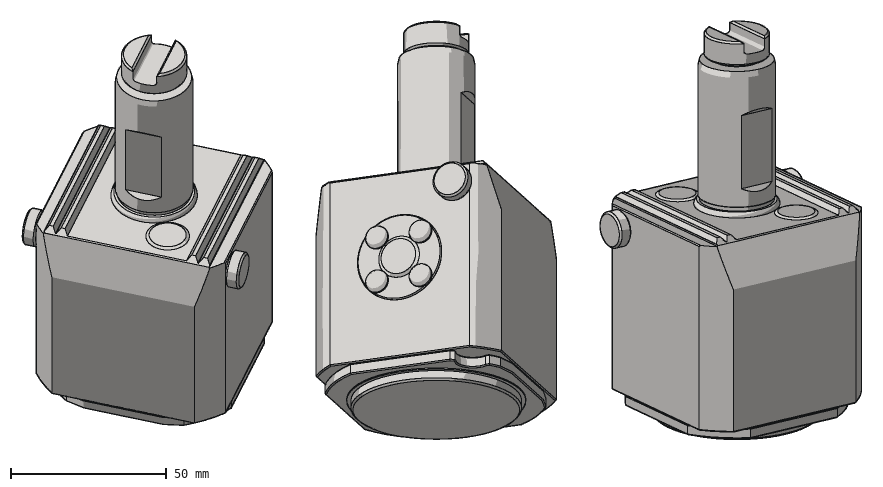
import cadquery as cq
import math

total_height = 129.5

body_width = 64.0
body_bottom = 7.1
shoulder_top = 70.2
corner_diameter = 80.0
slope_bottom = 55.7
slope_half_depth = 28.5
body_edge_chamfer = 0.4

deck_half_width = 27.8
deck_top = 70.8
deck_edge_drop = 0.4
tooth_height = 1.5
tooth_crest = 1.3
tooth_base = 3.9
tooth_pitch = 4.0
outer_tooth_x = 26.0

plug_diameter = 14.0
plug_x = 10.5
plug_y = 18.1
plug_height = 0.5
plug_bevel = 1.0

shank_diameter = 25.0
shank_shoulder_diameter = 24.1
shank_top = 120.0
shank_top_chamfer_height = 2.1
shank_base = 74.0
collar_diameter = 27.7
collar_top = 72.5
collar_top_diameter = 25.9
collar_round = 2.1

flat_width = 12.0
flat_bottom = 80.3
flat_top = 105.2

head_diameter = 21.0
head_bottom = 121.2
head_chamfer = 0.6
head_neck_diameter = 15.0
slot_width = 8.0
slot_bottom = 125.2
slot_round = 1.0
slot_top_chamfer = 0.6

knob_span = 73.0
knob_diameter = 12.0
knob_y = -19.0
knob_z = 63.7
knob_chamfer = 0.6

disc_diameter = 29.0
disc_height = 0.5
disc_bevel = 0.4
disc_z = 41.0
boss_diameter = 14.0
boss_height = 1.2
boss_bevel = 1.0
screw_diameter = 7.6
screw_offset = 7.5
screw_edge_height = 1.2
screw_height = 2.5
dome_radius = 2.6
screw_tip_diameter = 3.5

flange_width = 63.2
flange_diameter = 71.9
flange_bottom = 3.5
flange_chamfer = 0.4
relief_start_x = 13.5
relief_end_x = 20.1
relief_depth = 1.7
notch_x = -23.2
notch_y = -18.5
notch_arc_start_x = -29.7
notch_arc_end_y = -26.2
notch_arc_radius = 5.3
step_diameter = 57.5
step_bottom = 3.1
spigot_diameter = 54.8
spigot_chamfer = 0.6

body_half = body_width / 2
flange_half = flange_width / 2
shank_radius = shank_diameter / 2
tooth_top = deck_top + tooth_height


def cylinder(diameter, bottom, top):
    """Upright cylinder on the Z axis."""
    return cq.Workplane("XY").workplane(offset=bottom).circle(diameter / 2).extrude(top - bottom)


def make_body():
    square = (
        cq.Workplane("XY")
        .workplane(offset=body_bottom)
        .rect(body_width, body_width)
        .extrude(shoulder_top - body_bottom)
    )
    body = square.intersect(cylinder(corner_diameter, body_bottom, shoulder_top))
    body = body.faces("<Z").chamfer(body_edge_chamfer)
    body = body.faces(">Z").edges("|Y").chamfer(body_edge_chamfer)

    for side in (-1, 1):
        wedge = (
            cq.Workplane("YZ")
            .polyline([
                (side * body_half, slope_bottom),
                (side * slope_half_depth, shoulder_top),
                (side * body_width, shoulder_top),
                (side * body_width, slope_bottom),
            ])
            .close()
            .extrude(body_half, both=True)
        )
        body = body.cut(wedge)
    return body


def make_tooth(x):
    """One serration ridge of trapezoidal section running along Y."""
    return (
        cq.Workplane("XZ")
        .polyline([
            (x - tooth_base / 2, deck_top),
            (x - tooth_crest / 2, tooth_top),
            (x + tooth_crest / 2, tooth_top),
            (x + tooth_base / 2, deck_top),
        ])
        .close()
        .extrude(slope_half_depth, both=True)
    )


def make_deck():
    deck = (
        cq.Workplane("XY")
        .workplane(offset=shoulder_top)
        .rect(2 * deck_half_width, 2 * slope_half_depth)
        .extrude(deck_top - shoulder_top)
    )
    for side in (-1, 1):
        for row in range(2):
            deck = deck.union(make_tooth(side * (outer_tooth_x - row * tooth_pitch)))

    bevel_start = deck_top - deck_edge_drop
    bevel_run = tooth_top - bevel_start
    end_profile = (
        cq.Workplane("YZ")
        .polyline([
            (-slope_half_depth, shoulder_top),
            (-slope_half_depth, bevel_start),
            (-slope_half_depth + bevel_run, tooth_top),
            (slope_half_depth - bevel_run, tooth_top),
            (slope_half_depth, bevel_start),
            (slope_half_depth, shoulder_top),
        ])
        .close()
        .extrude(body_half, both=True)
    )
    return deck.intersect(end_profile)


def make_plugs():
    plugs = cq.Workplane("XY")
    for side in (-1, 1):
        plugs = plugs.add(
            cq.Solid.makeCone(
                plug_diameter / 2,
                plug_diameter / 2 - plug_bevel,
                plug_height,
                cq.Vector(side * plug_x, -side * plug_y, deck_top),
            )
        )
    return plugs


def make_shank():
    shoulder_radius = shank_shoulder_diameter / 2
    chamfer_bottom = shank_top - shank_top_chamfer_height
    shank = (
        cq.Workplane("XZ")
        .polyline([
            (0, shoulder_top),
            (shoulder_radius, shoulder_top),
            (shoulder_radius, shank_base),
            (shank_radius, shank_base),
            (shank_radius, chamfer_bottom),
            (shoulder_radius, shank_top),
            (0, shank_top),
        ])
        .close()
        .revolve(360, (0, 0, 0), (0, 1, 0))
    )
    collar = (
        cq.Workplane("XZ")
        .moveTo(0, shoulder_top)
        .lineTo(collar_diameter / 2, shoulder_top)
        .lineTo(collar_diameter / 2, deck_top)
        .radiusArc((collar_top_diameter / 2, collar_top), -collar_round)
        .lineTo(0, collar_top)
        .close()
        .revolve(360, (0, 0, 0), (0, 1, 0))
    )

    flat_y = math.sqrt(shank_radius ** 2 - (flat_width / 2) ** 2)
    ramp = shank_radius - flat_y
    for side in (-1, 1):
        flat_cut = (
            cq.Workplane("YZ")
            .polyline([
                (side * flat_y, flat_bottom),
                (side * shank_radius, flat_bottom - ramp),
                (side * shank_radius, flat_top + ramp),
                (side * flat_y, flat_top),
            ])
            .close()
            .extrude(shank_radius, both=True)
        )
        shank = shank.cut(flat_cut)
    return shank.union(collar)


def make_head():
    head = cylinder(head_diameter, head_bottom, total_height).faces("<Z or >Z").edges().chamfer(head_chamfer)
    slot = (
        cq.Workplane("XY")
        .workplane(offset=slot_bottom)
        .rect(slot_width, 2 * head_diameter)
        .extrude(total_height - slot_bottom)
        .faces("<Z")
        .edges("|Y")
        .fillet(slot_round)
    )
    neck = cylinder(head_neck_diameter, shank_top, head_bottom)
    head = head.cut(slot)
    head = head.faces(">Z").edges("|Y").chamfer(slot_top_chamfer)
    return head.union(neck)


def make_knobs():
    knob = (
        cq.Workplane("YZ", origin=(body_half, knob_y, knob_z))
        .circle(knob_diameter / 2)
        .extrude(knob_span / 2 - body_half)
        .faces("<X or >X")
        .edges()
        .chamfer(knob_chamfer)
    )
    return knob.add(knob.mirror("YZ"))


def make_screw(y, z):
    """Domed screw head with a flat tip, standing on the -X face."""
    edge_radius = screw_diameter / 2
    tip_radius = screw_tip_diameter / 2
    return (
        cq.Workplane("XY")
        .moveTo(0, 0)
        .lineTo(0, edge_radius)
        .lineTo(-screw_edge_height, edge_radius)
        .radiusArc((-screw_height, tip_radius), -dome_radius)
        .lineTo(-screw_height, 0)
        .close()
        .revolve(360, (0, 0, 0), (1, 0, 0))
        .translate((-body_half, y, z))
    )


def make_side_cover():
    face = cq.Workplane("YZ", origin=(-body_half, 0, disc_z))
    disc = face.circle(disc_diameter / 2).extrude(-disc_height).faces("<X").edges().chamfer(disc_bevel)
    boss = cq.Solid.makeCone(
        boss_diameter / 2,
        boss_diameter / 2 - boss_bevel,
        boss_height - disc_height,
        cq.Vector(-body_half - disc_height, 0, disc_z),
        cq.Vector(-1, 0, 0),
    )
    cover = disc.union(cq.Workplane(boss))
    for side_y in (-1, 1):
        for side_z in (-1, 1):
            cover = cover.union(make_screw(side_y * screw_offset, disc_z + side_z * screw_offset))
    return cover


def make_flange():
    flange = cylinder(flange_diameter, flange_bottom, body_bottom)
    square = cq.Workplane("XY").rect(flange_width, flange_width).extrude(body_bottom)
    flange = flange.intersect(square)

    reach = (flange_half - relief_start_x) * relief_depth / (relief_end_x - relief_start_x)
    for side in (-1, 1):
        relief = (
            cq.Workplane("XY")
            .polyline([
                (side * relief_start_x, -flange_half),
                (side * flange_half, -flange_half + reach),
                (side * flange_half, -flange_half),
            ])
            .close()
            .extrude(body_bottom)
        )
        flange = flange.cut(relief)

    notch = (
        cq.Workplane("XY")
        .moveTo(-body_width, notch_y)
        .lineTo(notch_arc_start_x, notch_y)
        .radiusArc((notch_x, notch_arc_end_y), notch_arc_radius)
        .lineTo(notch_x, -body_width)
        .lineTo(-body_width, -body_width)
        .close()
        .extrude(body_bottom)
    )
    flange = flange.cut(notch)
    return flange.faces("<Z or >Z").edges().chamfer(flange_chamfer)


def make_spigot():
    step = cylinder(step_diameter, step_bottom, flange_bottom)
    spigot = cylinder(spigot_diameter, 0, step_bottom).faces("<Z").edges().chamfer(spigot_chamfer)
    return step.union(spigot)


result = make_body()
for feature in (
    make_deck(),
    make_plugs(),
    make_shank(),
    make_head(),
    make_knobs(),
    make_side_cover(),
    make_flange(),
    make_spigot(),
):
    result = result.union(feature)